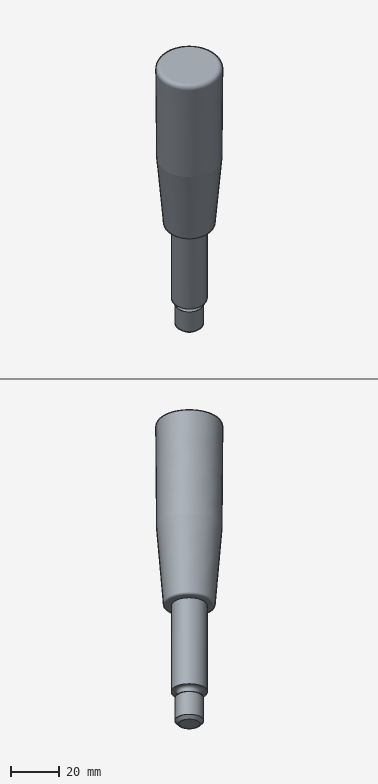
import cadquery as cq

total_length = 140.0
thread_length = 15.0
shank_length = 40.0
shoulder_z = thread_length
grip_bottom_z = shoulder_z + shank_length

shank_diameter = 15.0
thread_diameter = 12.0
thread_tip_chamfer = 1.5
undercut_diameter = 10.0
undercut_width = 2.8
undercut_floor_width = 0.4

knee_z = 91.0
grip_top_diameter = 28.0
grip_knee_diameter = 27.3
grip_bottom_diameter = 21.5
grip_top_round = 2.0
grip_bottom_round = 1.0


def make_spindle():
    """Turned spindle: chamfered thread end, relief undercut and shank."""
    thread_radius = thread_diameter / 2
    tip_radius = thread_radius - thread_tip_chamfer
    undercut_radius = undercut_diameter / 2
    shank_radius = shank_diameter / 2
    flank_height = (undercut_width - undercut_floor_width) / 2
    undercut_depth = thread_radius - undercut_radius
    flank_radius = (flank_height**2 + undercut_depth**2) / (2 * undercut_depth)
    undercut_bottom_z = shoulder_z - undercut_width
    return (
        cq.Workplane("XZ")
        .moveTo(0, 0)
        .lineTo(tip_radius, 0)
        .lineTo(thread_radius, thread_tip_chamfer)
        .lineTo(thread_radius, undercut_bottom_z)
        .radiusArc((undercut_radius, undercut_bottom_z + flank_height), flank_radius)
        .lineTo(undercut_radius, shoulder_z - flank_height)
        .radiusArc((thread_radius, shoulder_z), flank_radius)
        .lineTo(shank_radius, shoulder_z)
        .lineTo(shank_radius, grip_bottom_z)
        .lineTo(0, grip_bottom_z)
        .close()
        .revolve(360, (0, 0, 0), (0, 1, 0))
    )


def make_grip():
    """Tapered grip with rounded top and bottom rims."""
    grip = (
        cq.Workplane("XZ")
        .moveTo(0, grip_bottom_z)
        .lineTo(grip_bottom_diameter / 2, grip_bottom_z)
        .lineTo(grip_knee_diameter / 2, knee_z)
        .lineTo(grip_top_diameter / 2, total_length)
        .lineTo(0, total_length)
        .close()
        .revolve(360, (0, 0, 0), (0, 1, 0))
    )
    grip = grip.faces(">Z").edges().fillet(grip_top_round)
    return grip.faces("<Z").edges().fillet(grip_bottom_round)


result = make_spindle().union(make_grip())